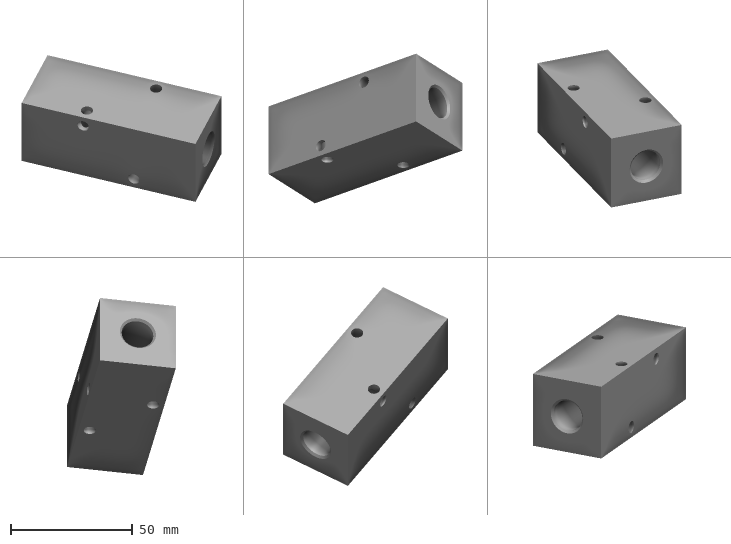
import cadquery as cq

length = 76.2
side = 31.8

bore_diameter = 13.25
mouth_diameter = 15.1
lead_in = (mouth_diameter - bore_diameter) / 2

cross_diameter = 5.0
cross_x = 11.1
cross_offset = 11.3


def cross_holes(plane, points):
    """Through cutters normal to the plane, centred on the block."""
    return cq.Workplane(plane).pushPoints(points).circle(cross_diameter / 2).extrude(side, both=True)


block = cq.Workplane("XY").box(length, side, side)
bored = block.faces("<X").workplane().hole(bore_diameter)
bored = bored.edges("%CIRCLE").chamfer(lead_in)

holes_along_y = cross_holes("XZ", [(-cross_x, cross_offset), (cross_x, -cross_offset)])
holes_along_z = cross_holes("XY", [(-cross_x, -cross_offset), (cross_x, cross_offset)])

result = bored.cut(holes_along_y).cut(holes_along_z)